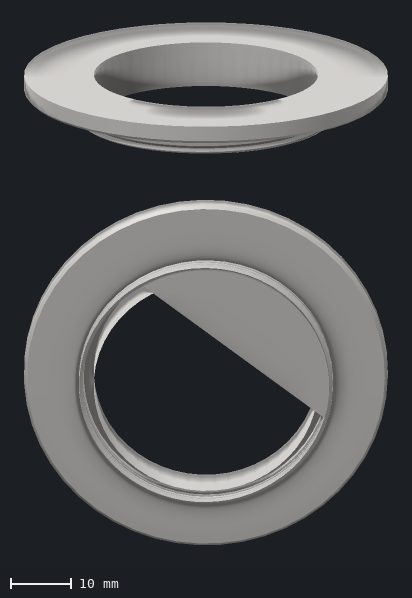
import cadquery as cq

total_height = 7.5
bore_diameter = 37.0

flange_diameter = 60.0
flange_thickness = 3.0
flange_chamfer = 0.5

neck_diameter = 40.25
neck_height = 1.0

thread_diameter = 41.9
thread_pitch = 1.0
thread_depth = 0.6134 * thread_pitch
crest_width = 0.1
ridge_base_width = 0.94
ridge_overlap = 0.03
crest_height_at_x_axis = 0.47
helix_run_out = 2 * thread_pitch

flange_bottom = total_height - flange_thickness
thread_length = flange_bottom - neck_height
thread_radius = thread_diameter / 2
root_radius = thread_radius - thread_depth


def cylinder(diameter, bottom, height):
    return cq.Workplane("XY").workplane(offset=bottom).circle(diameter / 2).extrude(height)


def make_flange():
    flange = cylinder(flange_diameter, flange_bottom, flange_thickness)
    return flange.faces("<Z").edges().chamfer(flange_chamfer)


def make_ridge():
    """Helical thread ridge, trimmed flat at both ends of the thread."""
    start_height = crest_height_at_x_axis - helix_run_out
    helix_height = thread_length + 2 * helix_run_out
    helix = cq.Wire.makeHelix(
        thread_pitch, helix_height, root_radius, center=cq.Vector(0, 0, start_height)
    )

    base_radius = root_radius - ridge_overlap
    ridge = (
        cq.Workplane("XZ")
        .polyline([
            (base_radius, start_height - ridge_base_width / 2),
            (thread_radius, start_height - crest_width / 2),
            (thread_radius, start_height + crest_width / 2),
            (base_radius, start_height + ridge_base_width / 2),
        ])
        .close()
        .sweep(cq.Workplane(obj=helix), isFrenet=True)
    )
    trim = cylinder(flange_diameter, 0, thread_length)
    return ridge.intersect(trim, clean=False)


def make_threaded_core():
    core = cylinder(2 * root_radius, 0, thread_length)
    return core.union(make_ridge(), clean=False)


neck = cylinder(neck_diameter, thread_length, neck_height)
collar = neck.union(make_threaded_core(), clean=False)
bore = cylinder(bore_diameter, 0, total_height)

result = make_flange().union(collar, clean=False).cut(bore, clean=False)